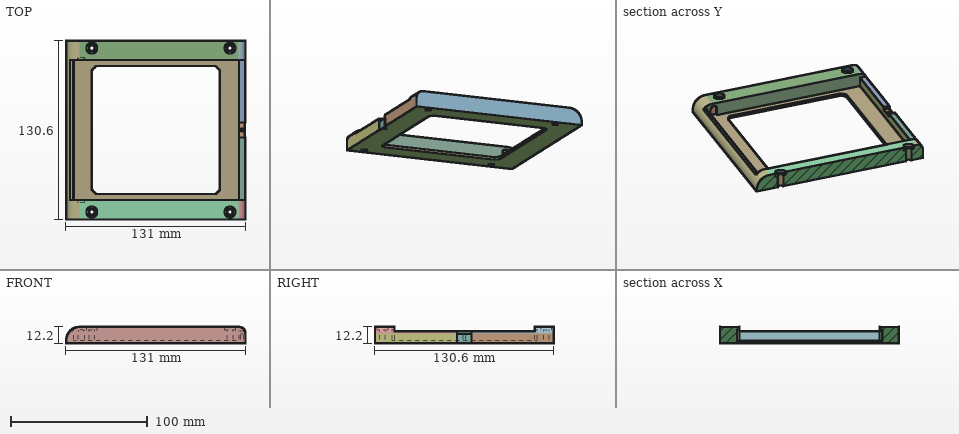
import cadquery as cq

length = 131.0
width = 130.6
height = 12.2
front_radius = 10.0
back_radius = 5.0

floor_height = 2.0
ledge_height = 9.0
rail_low_width = 14.4
rail_high_width = 14.0
recess_low_y = rail_low_width
recess_high_y = width - rail_high_width
recess_width = recess_high_y - recess_low_y
front_wall_top = 5.0
front_wall_bottom = 5.6
back_wall_start = length - back_radius

window_size = 93.3
window_chamfer = 3.0

screw_x = (18.7, 119.6)
screw_edge_distance = 5.5
screw_diameter = 4.0
head_diameter = 7.9
head_depth = 2.5

pivot_x = 11.0
pivot_height = 7.6
pivot_radius = 2.5
pivot_depth = 1.8

notch_width = 10.7
notch_height = 7.0
notch_face_x = 130.5
pin_x = 128.4
pin_diameter = 1.8


def box(x_range, y_range, z_range):
    """Axis-aligned box from its lower and upper limits."""
    size = [high - low for low, high in (x_range, y_range, z_range)]
    corner = (x_range[0], y_range[0], z_range[0])
    return cq.Workplane("XY").box(*size, centered=False).translate(corner)


def extrude_along_y(outline, start_y, distance):
    """Extrude a closed XZ outline toward +Y from start_y."""
    return outline.extrude(-distance).translate((0, start_y, 0))


def make_body():
    outline = (
        cq.Workplane("XZ")
        .lineTo(length, 0)
        .lineTo(length, height - back_radius)
        .radiusArc((length - back_radius, height), -back_radius)
        .lineTo(front_radius, height)
        .radiusArc((0, height - front_radius), -front_radius)
        .close()
    )
    return extrude_along_y(outline, 0, width)


def make_recess():
    """Tray with a sloped front wall, open above the low side ledges."""
    outline = cq.Workplane("XZ").polyline([
        (front_wall_bottom, floor_height),
        (back_wall_start, floor_height),
        (back_wall_start, ledge_height),
        (length, ledge_height),
        (length, height),
        (0, height),
        (0, ledge_height),
        (front_wall_top, ledge_height),
    ]).close()
    return extrude_along_y(outline, recess_low_y, recess_width)


def make_window():
    return (
        cq.Workplane("XY")
        .center(length / 2, width / 2)
        .rect(window_size, window_size)
        .extrude(floor_height)
        .edges("|Z")
        .chamfer(window_chamfer)
    )


def make_pivot_slots():
    """Round-topped slots reaching from the floor into both rails."""
    outline = (
        cq.Workplane("XZ")
        .moveTo(pivot_x - pivot_radius, floor_height)
        .lineTo(pivot_x + pivot_radius, floor_height)
        .lineTo(pivot_x + pivot_radius, pivot_height)
        .threePointArc((pivot_x, pivot_height + pivot_radius), (pivot_x - pivot_radius, pivot_height))
        .close()
    )
    return extrude_along_y(outline, recess_low_y - pivot_depth, recess_width + 2 * pivot_depth)


def make_latch_notch():
    """Lowered seat with a set-back outer face and a vertical pin hole."""
    y_range = ((width - notch_width) / 2, (width + notch_width) / 2)
    seat = box((back_wall_start, length), y_range, (notch_height, height))
    outer_face = box((notch_face_x, length), y_range, (0, height))
    pin_hole = cq.Workplane("XY").center(pin_x, width / 2).circle(pin_diameter / 2).extrude(height)
    return seat.union(outer_face).union(pin_hole)


result = (
    make_body()
    .cut(make_recess())
    .cut(make_window())
    .cut(make_pivot_slots())
    .cut(make_latch_notch())
)

screw_points = [(x, y) for x in screw_x for y in (screw_edge_distance, width - screw_edge_distance)]
result = (
    result.cut(cq.Workplane("XY").pushPoints(screw_points).circle(screw_diameter / 2).extrude(height))
    .cut(
        cq.Workplane("XY", origin=(0, 0, height))
        .pushPoints(screw_points)
        .circle(head_diameter / 2)
        .extrude(-head_depth)
    )
)